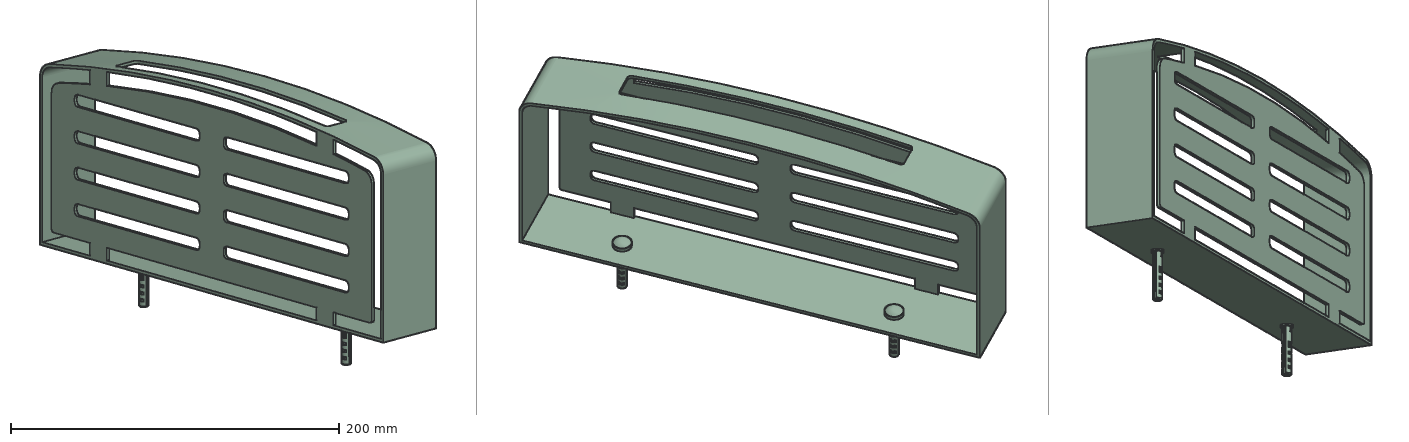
import cadquery as cq
import math

width = 300.0
depth = 45.0
height = 129.0
wall = 2.0
arch_radius = 800.0
corner_radius = 10.0

grille_gap = 10.2
grille_thickness = 2.0
grille_arch_radius = 700.0
grille_top_radius = 7.5
grille_bottom_radius = 1.8
tab_width = 15.0
tab_center_x = 99.0

slot_length = 109.2
slot_width = 7.8
slot_corner_radius = 3.0
slot_pitch = 23.0
slot_rows = 4
slot_center_x = 65.0
lowest_slot_z = 28.8

opening_length = 185.5
opening_width = 18.0
opening_center_y = -5.7
opening_radius = 2.5

fastener_spacing = 177.0
fastener_center_x = 1.0
fastener_y = 5.0
fastener_xs = [fastener_center_x + side * fastener_spacing / 2 for side in (-1, 1)]

plug_radius = 3.0
plug_length = 31.8
plug_chamfer = 1.0
flange_radius = 4.0
flange_height = 1.2
side_slot_width = 1.2
side_slot_length = 3.0
slit_width = 1.2
groove_floor = plug_radius - 1.0
neck_top = 11.0
neck_height = 3.3
groove_height = 1.5
groove_pitch = 4.5
first_groove_top = 17.5
groove_count = 3

shank_radius = 1.8
screw_reach = 26.5
screw_head_radius = 3.3
screw_head_height = 1.5
washer_radius = 6.0
washer_height = 2.5
cap_radius = 5.7
cap_height = 2.5


def arched_profile(inset, radius, top_radius, bottom_radius):
    """Full-depth block with an arched top of the given radius, set in from the frame by inset."""
    half = width / 2 - inset
    arch_center_z = height - inset - radius
    shoulder_z = arch_center_z + math.sqrt(radius**2 - half**2)
    solid = (
        cq.Workplane("XZ", origin=(0, depth / 2, 0))
        .moveTo(-half, inset)
        .lineTo(half, inset)
        .lineTo(half, shoulder_z)
        .threePointArc((0, height - inset), (-half, shoulder_z))
        .close()
        .extrude(depth)
        .edges("|Y")
        .edges(">Z")
        .fillet(top_radius)
    )
    if bottom_radius:
        solid = solid.edges("|Y").edges("<Z").fillet(bottom_radius)
    return solid


def make_grille():
    front_slab = cq.Workplane("XY").box(width, grille_thickness, height, centered=(True, False, False))
    front_slab = front_slab.translate((0, -depth / 2, 0))
    panel = arched_profile(grille_gap, grille_arch_radius, grille_top_radius, grille_bottom_radius)
    panel = panel.intersect(front_slab)
    tabs = (
        cq.Workplane("XY")
        .pushPoints([(-tab_center_x, -depth / 2), (tab_center_x, -depth / 2)])
        .box(tab_width, 2 * grille_thickness, height, centered=(True, True, False))
    )
    outline = arched_profile(0, arch_radius, corner_radius, 0).intersect(front_slab)
    return panel.union(tabs.intersect(outline))


def make_slots():
    rows = [lowest_slot_z + row * slot_pitch for row in range(slot_rows)]
    points = [(side * slot_center_x, z) for side in (-1, 1) for z in rows]
    slots = cq.Workplane("XZ").pushPoints(points).rect(slot_length, slot_width).extrude(depth)
    return slots.edges("|Y").fillet(slot_corner_radius)


def make_rack():
    cavity = arched_profile(wall, arch_radius - wall, corner_radius - wall, 0)
    rim = arched_profile(0, arch_radius, corner_radius, 0).cut(cavity)
    rack = rim.union(make_grille()).cut(make_slots())
    opening = (
        cq.Workplane("XY", origin=(0, opening_center_y, height / 2))
        .rect(opening_length, opening_width)
        .extrude(height)
        .edges("|Z")
        .fillet(opening_radius)
    )
    holes = (
        cq.Workplane("XY")
        .pushPoints([(x, fastener_y) for x in fastener_xs])
        .circle(shank_radius)
        .extrude(wall)
    )
    return rack.cut(opening).cut(holes)


def plug_cutter(size_x, size_y, top, bottom):
    """Block centered on the plug axis, between two distances below the frame."""
    block = cq.Workplane("XY").box(size_x, size_y, bottom - top, centered=(True, True, False))
    return block.translate((0, 0, -bottom))


def cut_both_sides(plug, size_x, floor, top, bottom):
    """Cut the -Y and +Y sides of the plug down to the distance floor from its axis."""
    outer = plug_cutter(size_x, 2 * plug_radius, top, bottom)
    core = plug_cutter(size_x, 2 * floor, top, bottom)
    return plug.cut(outer.cut(core))


def make_plug(x):
    plug = cq.Workplane("XY").circle(plug_radius).extrude(-plug_length).faces("<Z").chamfer(plug_chamfer)
    plug = plug.union(cq.Workplane("XY").circle(flange_radius).extrude(-flange_height))

    plug = plug.cut(cq.Workplane("XY").circle(shank_radius).extrude(-screw_reach))
    plug = plug.cut(plug_cutter(2 * plug_radius, slit_width, flange_height, plug_length))

    neck_bottom = neck_top + neck_height
    side_slot_end = flange_height + side_slot_length
    plug = cut_both_sides(plug, side_slot_width, groove_floor, flange_height, side_slot_end)
    plug = plug.cut(plug_cutter(side_slot_width, 2 * plug_radius, neck_top, neck_bottom))

    plug = cut_both_sides(plug, 2 * plug_radius, groove_floor, neck_top, neck_bottom)
    for index in range(groove_count):
        top = first_groove_top + index * groove_pitch
        plug = cut_both_sides(plug, 2 * plug_radius, groove_floor, top, top + groove_height)
    return plug.translate((x, fastener_y, 0))


def make_screw(x):
    head_z = wall + washer_height
    profile = (
        cq.Workplane("XZ")
        .moveTo(0, head_z)
        .lineTo(screw_head_radius, head_z)
        .lineTo(shank_radius, head_z - screw_head_height)
        .lineTo(shank_radius, -screw_reach)
        .lineTo(0, -screw_reach)
        .close()
    )
    return profile.revolve(360, (0, 0, 0), (0, 1, 0)).translate((x, fastener_y, 0))


def make_washer(x):
    disc = cq.Workplane("XY").circle(washer_radius).extrude(washer_height)
    return disc.translate((x, fastener_y, wall)).cut(make_screw(x))


def make_cap(x):
    """Low dome: a circular segment through rim and apex, turned about the fastener axis."""
    base_z = wall + washer_height
    sphere_radius = (cap_radius**2 + cap_height**2) / (2 * cap_height)
    half_angle = math.asin(cap_radius / sphere_radius) / 2
    sphere_center_z = base_z + cap_height - sphere_radius
    middle_z = sphere_center_z + sphere_radius * math.cos(half_angle)
    arc_middle = (-sphere_radius * math.sin(half_angle), middle_z)
    profile = (
        cq.Workplane("YZ")
        .moveTo(0, base_z)
        .lineTo(-cap_radius, base_z)
        .threePointArc(arc_middle, (0, base_z + cap_height))
        .close()
    )
    return profile.revolve(360, (0, 0, 0), (0, 1, 0)).translate((x, fastener_y, 0))


bodies = [make_rack().val()]
for x in fastener_xs:
    bodies += [make(x).val() for make in (make_plug, make_screw, make_washer, make_cap)]
result = cq.Compound.makeCompound(bodies)